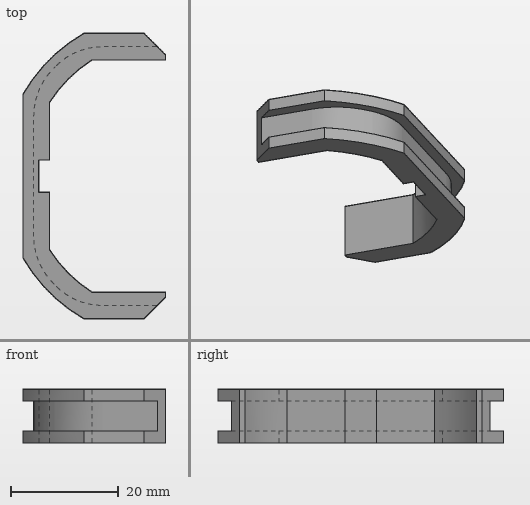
import cadquery as cq
import math

depth = 26.5
length = 53.0
height = 10.0
half_length = length / 2

wall = 5.0
outer_radius = 30.55
inner_radius = 25.5
tip_chamfer = 4.05

groove_height = 5.5
spine_groove_depth = 2.0
arm_groove_depth = 2.5
spine_flat_half = 11.1
arm_flat_start = 14.8
corner_flat_start = (4.75, 18.9)
corner_flat_end = (5.95, 20.2)

notch_width = 5.95
notch_depth = 2.0


def rounded_block(x_start, half_width, radius):
    """Block from x_start to the open side, with its corners cut by a cylinder."""
    block = cq.Workplane("XY").box(depth - x_start, 2 * half_width, height)
    block = block.translate(((depth + x_start) / 2, 0, 0))
    cylinder = cq.Workplane("XY").center(depth, 0).circle(radius).extrude(height / 2, both=True)
    return block.intersect(cylinder)


def chamfered_outer():
    """Outer block with both arm tips chamfered."""
    block = rounded_block(0, half_length, outer_radius)
    return block.edges("|Z and >X").chamfer(tip_chamfer)


def arc_middle(start, end, center):
    """Point halfway along the arc from start to end about center."""
    radius = math.dist(start, center)
    angles = [math.atan2(y - center[1], x - center[0]) % math.tau for x, y in (start, end)]
    middle = sum(angles) / 2
    return center[0] + radius * math.cos(middle), center[1] + radius * math.sin(middle)


def groove_core():
    """Core with a short flat at each closed corner, between arcs tangent to spine and arm."""
    arm_face = half_length - arm_groove_depth
    spine_end = (spine_groove_depth, spine_flat_half)
    arm_start = (arm_flat_start, arm_face)

    spine_run = corner_flat_start[0] - spine_end[0]
    spine_rise = corner_flat_start[1] - spine_end[1]
    spine_radius = (spine_run**2 + spine_rise**2) / (2 * spine_run)
    spine_center = (spine_end[0] + spine_radius, spine_end[1])

    arm_run = arm_start[0] - corner_flat_end[0]
    arm_rise = arm_start[1] - corner_flat_end[1]
    arm_radius = (arm_run**2 + arm_rise**2) / (2 * arm_rise)
    arm_center = (arm_start[0], arm_start[1] - arm_radius)

    half = (
        cq.Workplane("XY")
        .moveTo(spine_groove_depth, 0)
        .lineTo(*spine_end)
        .threePointArc(arc_middle(spine_end, corner_flat_start, spine_center), corner_flat_start)
        .lineTo(*corner_flat_end)
        .threePointArc(arc_middle(corner_flat_end, arm_start, arm_center), arm_start)
        .lineTo(depth, arm_face)
        .lineTo(depth, 0)
        .close()
        .extrude(groove_height / 2, both=True)
    )
    return half.union(half.mirror("XZ"))


def groove():
    """Band around the core, to be cut from the outer block."""
    band = cq.Workplane("XY").box(2 * depth, length, groove_height)
    return band.cut(groove_core())


def notch():
    """Cutter for the notch through the full height of the spine."""
    cutter = cq.Workplane("XY").box(notch_depth, notch_width, height)
    return cutter.translate((wall - notch_depth / 2, 0, 0))


opening = rounded_block(wall, half_length - wall, inner_radius)
result = chamfered_outer().cut(opening).cut(groove()).cut(notch())